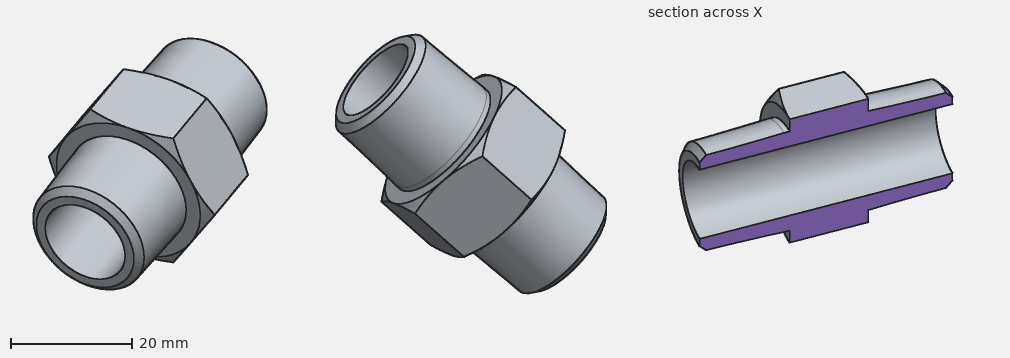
import cadquery as cq
import math

total_length = 45.0
hex_length = 14.0
front_length = 15.0
collar_length = total_length - hex_length - 2 * front_length
across_flats = 27.0
bore_diameter = 15.0
root_diameter = 21.75
taper = 1 / 16
chamfer_length = 1.15
tip_diameter = 18.3
hex_chamfer_angle = 30.0

front_end = -total_length / 2
hex_front = front_end + front_length
hex_back = hex_front + hex_length
back_end = total_length / 2
taper_length = front_length - chamfer_length

root_radius = root_diameter / 2
tip_radius = tip_diameter / 2
chamfer_radius = root_radius - taper_length * taper / 2
bore_radius = bore_diameter / 2
flat_radius = across_flats / 2
corner_radius = flat_radius / math.cos(math.radians(30))
hex_chamfer_length = (corner_radius - flat_radius) * math.tan(math.radians(hex_chamfer_angle))


def revolve_about_y(points):
    """Revolve a closed (radius, y) outline about the Y axis."""
    return cq.Workplane("XY").polyline(points).close().revolve(360, (0, 0, 0), (0, 1, 0))


def make_pipe():
    """Both tapered spigots, joined through the hexagon, with the bore left open."""
    return revolve_about_y([
        (bore_radius, front_end),
        (tip_radius, front_end),
        (chamfer_radius, front_end + chamfer_length),
        (root_radius, hex_front),
        (root_radius, hex_back + collar_length),
        (chamfer_radius, back_end - chamfer_length),
        (tip_radius, back_end),
        (bore_radius, back_end),
    ])


def make_hexagon():
    """Hexagon with corners on +X and -X, its corners turned off by cones at both ends."""
    prism = (
        cq.Workplane("XZ", origin=(0, hex_back, 0))
        .polygon(6, 2 * corner_radius)
        .circle(bore_radius)
        .extrude(hex_length)
    )
    turned_envelope = revolve_about_y([
        (0, hex_front),
        (flat_radius, hex_front),
        (corner_radius, hex_front + hex_chamfer_length),
        (corner_radius, hex_back - hex_chamfer_length),
        (flat_radius, hex_back),
        (0, hex_back),
    ])
    return prism.intersect(turned_envelope)


result = make_hexagon().union(make_pipe())